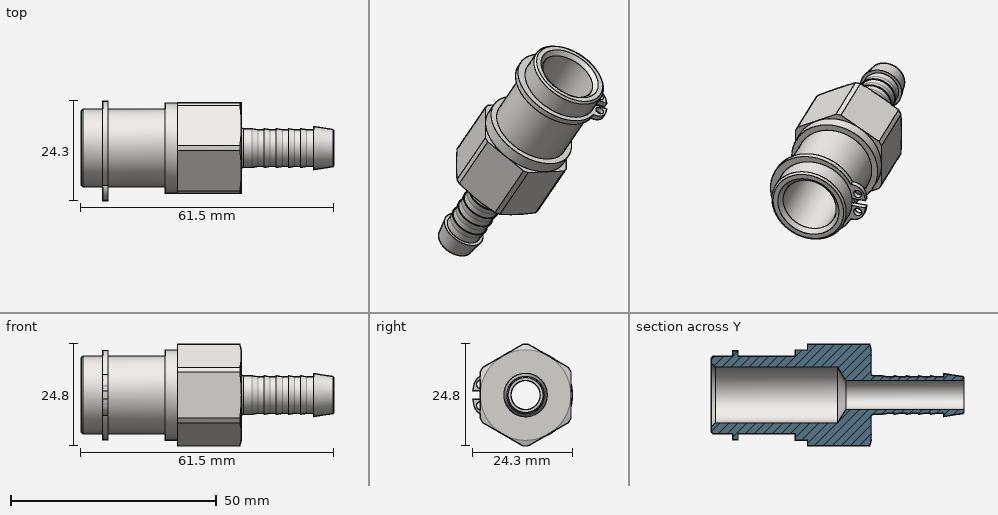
import cadquery as cq
import math

TOTAL_LENGTH = 61.5
RING_START = 5.2
RING_WIDTH = 1.35
COLLAR_START = 20.4
HEX_START = 23.4
HEX_END = 38.9

BODY_RADIUS = 19.0 / 2
BODY_CHAMFER = 0.5
COLLAR_RADIUS = 22.0 / 2

HEX_FLATS = 22.1
HEX_CORNER_RADIUS = 24.8 / 2
HEX_BEVEL_LENGTH = 0.35
HEX_BEVEL_RADIUS = COLLAR_RADIUS

TAIL_ROOT_RADIUS = 4.9
TAIL_ROOT_LENGTH = 0.5
RIDGE_RADIUS = 9.5 / 2
VALLEY_RADIUS = 9.0 / 2
RIDGE_START = 41.5
RIDGE_COUNT = 5
RIDGE_PITCH = 2.95
BARB_START = 56.5
BARB_RADIUS = 5.3
BARB_TIP_RADIUS = 4.55
TIP_CHAMFER = 0.3

MOUTH_RADIUS = 7.8
BORE_RADIUS = 13.6 / 2
MOUTH_DEPTH = MOUTH_RADIUS - BORE_RADIUS
BORE_DEPTH = 30.75
THROUGH_RADIUS = 7.0 / 2
CONE_HALF_ANGLE = math.radians(59)

RING_RADIUS = 10.9
RING_OFFSET = 0.55
RING_GAP = 2.0
GROOVE_RADIUS = 18.0 / 2
LUG_RADIUS = 3.2
LUG_Y = -9.5
LUG_Z = 1.8
LUG_TIP_Y = -12.85
LUG_FLANK_Z = 2.5
LUG_HOLE_DIAMETER = 2.0
LUG_HOLE_Y = -10.9
LUG_HOLE_Z = 2.6


def disc(x, length, radius, y=0, z=0):
    """Cylinder along +X starting at x, centred on (y, z)."""
    return cq.Workplane("YZ", origin=(x, y, z)).circle(radius).extrude(length)


def revolve_profile(points):
    """Solid of revolution about X from an (x, radius) outline."""
    return cq.Workplane("XY").polyline(points).close().revolve(360, (0, 0), (1, 0))


def make_socket():
    body = disc(0, HEX_START, BODY_RADIUS).faces("<X").chamfer(BODY_CHAMFER)
    groove = disc(RING_START, RING_WIDTH, BODY_RADIUS).cut(
        disc(RING_START, RING_WIDTH, GROOVE_RADIUS)
    )
    body = body.cut(groove)
    return body.union(disc(COLLAR_START, HEX_START - COLLAR_START, COLLAR_RADIUS))


def make_hex():
    across_corners = HEX_FLATS / math.cos(math.pi / 6)
    prism = (
        cq.Workplane("YZ", origin=(HEX_START, 0, 0))
        .polygon(6, across_corners)
        .extrude(HEX_END - HEX_START)
        .rotate((0, 0, 0), (1, 0, 0), 90)
    )
    envelope = revolve_profile([
        (HEX_START, 0),
        (HEX_START, HEX_CORNER_RADIUS),
        (HEX_END - HEX_BEVEL_LENGTH, HEX_CORNER_RADIUS),
        (HEX_END, HEX_BEVEL_RADIUS),
        (HEX_END, 0),
    ])
    return prism.intersect(envelope)


def make_tail():
    outline = [
        (HEX_END, 0),
        (HEX_END, TAIL_ROOT_RADIUS),
        (HEX_END + TAIL_ROOT_LENGTH, RIDGE_RADIUS),
    ]
    for index in range(RIDGE_COUNT):
        crest = RIDGE_START + index * RIDGE_PITCH
        outline += [
            (crest, RIDGE_RADIUS),
            (crest + RIDGE_PITCH / 2, VALLEY_RADIUS),
            (crest + RIDGE_PITCH, VALLEY_RADIUS),
        ]
    outline += [
        (BARB_START, VALLEY_RADIUS),
        (BARB_START, BARB_RADIUS),
        (TOTAL_LENGTH - TIP_CHAMFER, BARB_TIP_RADIUS),
        (TOTAL_LENGTH, BARB_TIP_RADIUS - TIP_CHAMFER),
        (TOTAL_LENGTH, 0),
    ]
    return revolve_profile(outline)


def make_lug(side):
    """Round lug whose outer end runs straight to a sharp tip at the gap."""
    flank_y = LUG_Y - math.sqrt(LUG_RADIUS**2 - (LUG_FLANK_Z - LUG_Z) ** 2)
    tip = (
        cq.Workplane("YZ", origin=(RING_START, 0, 0))
        .polyline([
            (LUG_Y, side * RING_GAP / 2),
            (LUG_TIP_Y, side * RING_GAP / 2),
            (flank_y, side * LUG_FLANK_Z),
            (LUG_Y, side * LUG_FLANK_Z),
        ])
        .close()
        .extrude(RING_WIDTH)
    )
    return disc(RING_START, RING_WIDTH, LUG_RADIUS, LUG_Y, side * LUG_Z).union(tip)


def make_ring():
    ring = disc(RING_START, RING_WIDTH, RING_RADIUS, y=RING_OFFSET)
    for side in (-1, 1):
        ring = ring.union(make_lug(side))
    for side in (-1, 1):
        ring = ring.cut(
            disc(RING_START, RING_WIDTH, LUG_HOLE_DIAMETER / 2, LUG_HOLE_Y, side * LUG_HOLE_Z)
        )
    gap = cq.Workplane("XY").box(
        RING_WIDTH, 2 * RING_RADIUS, RING_GAP, centered=(False, False, True)
    ).translate((RING_START, -2 * RING_RADIUS, 0))
    return ring.cut(gap)


def make_bore():
    cone_length = (BORE_RADIUS - THROUGH_RADIUS) / math.tan(CONE_HALF_ANGLE)
    return revolve_profile([
        (0, 0),
        (0, MOUTH_RADIUS),
        (MOUTH_DEPTH, BORE_RADIUS),
        (BORE_DEPTH, BORE_RADIUS),
        (BORE_DEPTH + cone_length, THROUGH_RADIUS),
        (TOTAL_LENGTH, THROUGH_RADIUS),
        (TOTAL_LENGTH, 0),
    ])


result = (
    make_socket()
    .union(make_hex())
    .union(make_tail())
    .union(make_ring())
    .cut(make_bore())
)